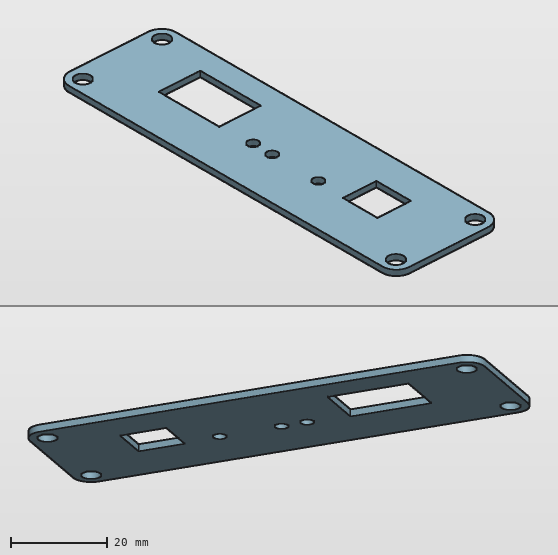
import cadquery as cq

plate_length = 103.0
plate_width = 30.3
plate_thickness = 1.62
corner_radius = 4.0

mount_hole_diameter = 4.2
mount_spacing_x = 95.0
mount_spacing_y = 22.5

small_hole_diameter = 2.9
small_hole_row_y = -2.35
small_hole_xs = (-5.35, 0.45, 14.45)

window_bottom_y = -3.1
large_window_length = 18.35
large_window_width = 11.8
large_window_center_x = -24.0
small_window_length = 10.45
small_window_width = 9.5
small_window_center_x = 27.95


def make_plate():
    """Flat plate with rounded vertical corners."""
    blank = cq.Workplane("XY").rect(plate_length, plate_width).extrude(plate_thickness)
    return blank.edges("|Z").fillet(corner_radius)


def make_mount_holes():
    """Four through holes, one at each corner."""
    centers = cq.Workplane("XY").rect(mount_spacing_x, mount_spacing_y, forConstruction=True).vertices()
    return centers.circle(mount_hole_diameter / 2).extrude(plate_thickness)


def make_small_holes():
    """Through holes in a row along X."""
    centers = [(x, small_hole_row_y) for x in small_hole_xs]
    return cq.Workplane("XY").pushPoints(centers).circle(small_hole_diameter / 2).extrude(plate_thickness)


def make_window(center_x, length, width):
    """Rectangular through opening standing on the common lower edge line."""
    center_y = window_bottom_y + width / 2
    return cq.Workplane("XY").center(center_x, center_y).rect(length, width).extrude(plate_thickness)


result = (
    make_plate()
    .cut(make_mount_holes())
    .cut(make_small_holes())
    .cut(make_window(large_window_center_x, large_window_length, large_window_width))
    .cut(make_window(small_window_center_x, small_window_length, small_window_width))
)